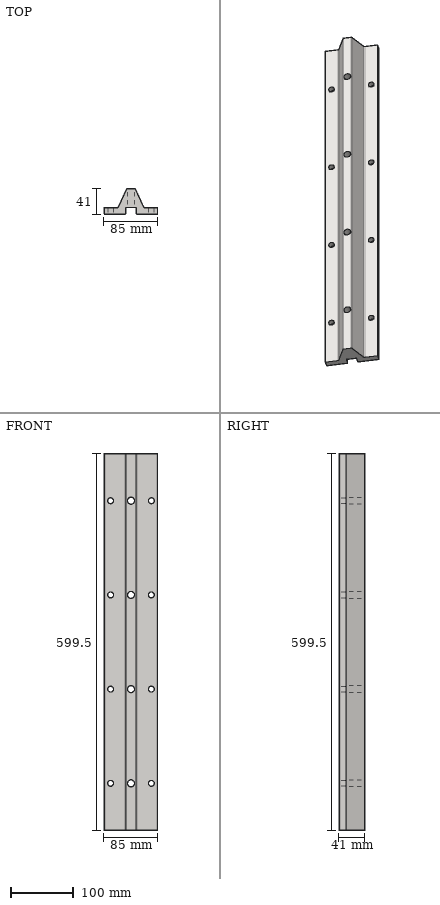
import cadquery as cq

length = 599.5
width = 85.0
depth = 41.0
flange_thickness = 11.0
ridge_foot_width = 41.5
ridge_top_width = 14.0
channel_width = 16.0
channel_depth = flange_thickness
outer_edge_radius = 1.0
channel_edge_radius = 2.0
ridge_top_radius = 1.0
ridge_foot_radius = 2.0

row_count = 4
row_pitch = length / row_count
side_hole_offset = 32.5
side_hole_diameter = 9.0
center_hole_diameter = 11.0

front_y = -depth / 2
back_y = depth / 2
flange_back_y = front_y + flange_thickness


def rail_body():
    """Extrude the section along Z and round its long edges."""
    right_half = [
        (channel_width / 2, front_y + channel_depth),
        (channel_width / 2, front_y),
        (width / 2, front_y),
        (width / 2, flange_back_y),
        (ridge_foot_width / 2, flange_back_y),
        (ridge_top_width / 2, back_y),
    ]
    left_half = [(-x, y) for x, y in reversed(right_half)]
    body = (
        cq.Workplane("XY", origin=(0, 0, -length / 2))
        .polyline(right_half + left_half)
        .close()
        .extrude(length)
    )

    def edge_pair(x, y):
        left = cq.selectors.NearestToPointSelector((-x, y, 0))
        right = cq.selectors.NearestToPointSelector((x, y, 0))
        return body.edges("|Z").edges(left + right)

    body = edge_pair(width / 2, front_y).fillet(outer_edge_radius)
    body = edge_pair(channel_width / 2, front_y).fillet(channel_edge_radius)
    body = edge_pair(ridge_foot_width / 2, flange_back_y).fillet(ridge_foot_radius)
    body = edge_pair(ridge_top_width / 2, back_y).fillet(ridge_top_radius)
    return body


def hole_column(diameter, x):
    """Return one column of cylinders running through the whole depth along Y."""
    return (
        cq.Workplane("XZ", origin=(x, back_y, 0))
        .rarray(6, row_pitch, 1, row_count)
        .circle(diameter / 2)
        .extrude(depth)
    )


result = rail_body().cut(hole_column(center_hole_diameter, 0))
for x in (-side_hole_offset, side_hole_offset):
    result = result.cut(hole_column(side_hole_diameter, x))